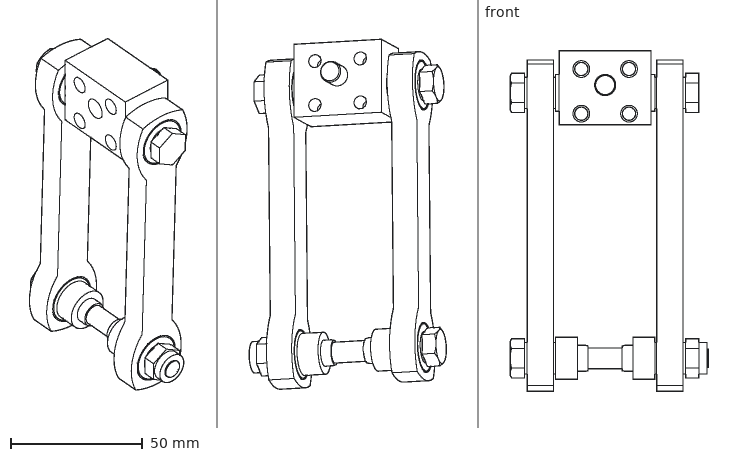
import cadquery as cq
import math


AXLE_DROP = 100.8
AXLE_SHIFT = 3.0
LINK_LENGTH = math.hypot(AXLE_DROP, AXLE_SHIFT)
LINK_TILT = -math.degrees(math.atan2(AXLE_SHIFT, AXLE_DROP))

LINK_INNER_X = 19.5
LINK_THICKNESS = 10.1
LINK_OUTER_X = LINK_INNER_X + LINK_THICKNESS
HEAD_REACH = 12.5
CORNER_Y = 10.0
CORNER_Z = 10.6
SHANK_HALF_WIDTH = 7.5
NECK_FILLET = 1.3
BORE_DIAMETER = 19.0

JOURNAL_CHAMFER = 0.5
SPACER_DIAMETER = 12.0
INNER_SPACER_LENGTH = 0.6
OUTER_SPACER_LENGTH = 0.9
SHOULDER_X = LINK_INNER_X - INNER_SPACER_LENGTH
HEX_INNER_X = LINK_OUTER_X + OUTER_SPACER_LENGTH
HEX_FLATS = 13.0
HEX_CORNERS = HEX_FLATS / math.cos(math.pi / 6)
HEAD_LENGTH = 5.6
HEAD_CHAMFER_ANGLE = 30
NUT_LENGTH = 5.0

BLOCK_WIDTH = 35.0
BLOCK_FRONT_Y = -8.0
BLOCK_BACK_Y = 13.3
BLOCK_DEPTH = BLOCK_BACK_Y - BLOCK_FRONT_Y
BLOCK_TOP_Z = 16.0
BLOCK_BOTTOM_Z = -12.2
FLANGE_DIAMETER = 14.0

MOUNT_X = 9.0
MOUNT_UPPER_Z = 9.0
MOUNT_LOWER_Z = -7.9
MOUNT_DIAMETER = 6.3
MOUNT_THROUGH_DIAMETER = 4.9
MOUNT_STEP_DEPTH = BLOCK_DEPTH / 2

PIN_DIAMETER = 8.0
PIN_RADIUS = PIN_DIAMETER / 2
PIN_Z = 3.0
PIN_LENGTH = 20.0
PIN_BACK_Y = 23.4
PIN_BEVEL_LENGTH = 0.8
PIN_DOME_RADIUS = 3.6
PIN_DOME_HEIGHT = 0.8

COLLAR_DIAMETER = 16.0
COLLAR_INNER_X = 10.5
STEP_DIAMETER = 10.0
STEP_INNER_X = 6.5
STEP_BEVEL_LENGTH = 1.0
STEP_BEVEL_HEIGHT = 0.3
ROD_DIAMETER = 8.0
STUB_DIAMETER = 12.0
STUB_LENGTH = 3.1
TIP_DIAMETER = 7.0
TIP_LENGTH = 0.5


def disc(start_x, end_x, diameter):
    """Cylinder on the X axis."""
    return cq.Workplane("YZ", origin=(start_x, 0, 0)).circle(diameter / 2).extrude(end_x - start_x)


def hexagon(start_x, end_x):
    """Hexagonal prism on the X axis, with corners pointing up and down."""
    prism = cq.Workplane("YZ", origin=(start_x, 0, 0)).polygon(6, HEX_CORNERS).extrude(end_x - start_x)
    return prism.rotate((0, 0, 0), (1, 0, 0), 90)


def bolt_head():
    """Hexagon at the -X end, its outer corners cut back by a cone."""
    outer_x = -HEX_INNER_X - HEAD_LENGTH
    flats_radius = HEX_FLATS / 2
    corner_radius = HEX_CORNERS / 2
    bevel_x = outer_x + (corner_radius - flats_radius) * math.tan(math.radians(HEAD_CHAMFER_ANGLE))
    cone_profile = [
        (outer_x, 0),
        (outer_x, flats_radius),
        (bevel_x, corner_radius),
        (-HEX_INNER_X, corner_radius),
        (-HEX_INNER_X, 0),
    ]
    envelope = cq.Workplane("XY").polyline(cone_profile).close().revolve(360, (0, 0, 0), (1, 0, 0))
    return hexagon(outer_x, -HEX_INNER_X).intersect(envelope)


def nut():
    return hexagon(HEX_INNER_X, HEX_INNER_X + NUT_LENGTH)


def journal(side):
    """Journal that fills a link bore, with a spacer on each face; side is -1 or +1."""
    bearing = disc(LINK_INNER_X, LINK_OUTER_X, BORE_DIAMETER).edges("%CIRCLE").chamfer(JOURNAL_CHAMFER)
    core = disc(SHOULDER_X, HEX_INNER_X, SPACER_DIAMETER)
    end = bearing.union(core)
    return end if side > 0 else end.mirror("YZ")


def make_link(side):
    """Tilted link with a rounded head around each axle; side is -1 or +1."""
    side_sagitta = HEAD_REACH - CORNER_Y
    side_radius = (CORNER_Z**2 + side_sagitta**2) / (2 * side_sagitta)
    arc_centre_y = HEAD_REACH - side_radius
    neck_z = math.sqrt(side_radius**2 - (SHANK_HALF_WIDTH - arc_centre_y) ** 2)
    start_x = LINK_INNER_X if side > 0 else -LINK_OUTER_X

    link = (
        cq.Workplane("YZ", origin=(start_x, 0, 0))
        .moveTo(SHANK_HALF_WIDTH, -neck_z)
        .threePointArc((HEAD_REACH, 0), (CORNER_Y, CORNER_Z))
        .threePointArc((0, HEAD_REACH), (-CORNER_Y, CORNER_Z))
        .threePointArc((-HEAD_REACH, 0), (-SHANK_HALF_WIDTH, -neck_z))
        .lineTo(-SHANK_HALF_WIDTH, -LINK_LENGTH + neck_z)
        .threePointArc((-HEAD_REACH, -LINK_LENGTH), (-CORNER_Y, -LINK_LENGTH - CORNER_Z))
        .threePointArc((0, -LINK_LENGTH - HEAD_REACH), (CORNER_Y, -LINK_LENGTH - CORNER_Z))
        .threePointArc((HEAD_REACH, -LINK_LENGTH), (SHANK_HALF_WIDTH, -LINK_LENGTH + neck_z))
        .close()
        .extrude(LINK_THICKNESS)
    )
    shank_region = cq.selectors.BoxSelector(
        (-LINK_OUTER_X, -HEAD_REACH, -LINK_LENGTH),
        (LINK_OUTER_X, HEAD_REACH, 0),
    )
    link = link.edges("|X").edges(shank_region).fillet(NECK_FILLET)
    for bore_z in (0, -LINK_LENGTH):
        bore = disc(start_x, start_x + LINK_THICKNESS, BORE_DIAMETER)
        link = link.cut(bore.translate((0, 0, bore_z)))
    return link.rotate((0, 0, 0), (1, 0, 0), LINK_TILT)


def hole_from_front(x, z, diameter, depth):
    """Cutter that enters the front face of the block and runs towards +Y."""
    plane = cq.Workplane("XZ", origin=(x, BLOCK_FRONT_Y, z))
    return plane.circle(diameter / 2).extrude(-depth)


def make_block():
    """Upper block with the axle ends that carry the links."""
    block = cq.Workplane("XY").box(
        BLOCK_WIDTH, BLOCK_DEPTH, BLOCK_TOP_Z - BLOCK_BOTTOM_Z, centered=(True, False, False)
    )
    block = block.translate((0, BLOCK_FRONT_Y, BLOCK_BOTTOM_Z))

    block = block.union(disc(-SHOULDER_X, SHOULDER_X, FLANGE_DIAMETER))
    for side in (-1, 1):
        block = block.union(journal(side))
    block = block.union(bolt_head()).union(nut())

    for x in (-MOUNT_X, MOUNT_X):
        for z in (MOUNT_LOWER_Z, MOUNT_UPPER_Z):
            block = block.cut(hole_from_front(x, z, MOUNT_DIAMETER, MOUNT_STEP_DEPTH))
            block = block.cut(hole_from_front(x, z, MOUNT_THROUGH_DIAMETER, BLOCK_DEPTH))

    return block.cut(hole_from_front(0, PIN_Z, PIN_DIAMETER, BLOCK_DEPTH))


def make_pin():
    """Dowel pin along Y with bevelled, domed ends."""
    half = PIN_LENGTH / 2
    rim = half - PIN_DOME_HEIGHT
    bevel = rim - PIN_BEVEL_LENGTH
    dome_sphere = (PIN_DOME_RADIUS**2 + PIN_DOME_HEIGHT**2) / (2 * PIN_DOME_HEIGHT)
    mid_radius = PIN_DOME_RADIUS / 2
    mid_dome = half - dome_sphere + math.sqrt(dome_sphere**2 - mid_radius**2)
    pin = (
        cq.Workplane("XY")
        .moveTo(0, -half)
        .threePointArc((mid_radius, -mid_dome), (PIN_DOME_RADIUS, -rim))
        .lineTo(PIN_RADIUS, -bevel)
        .lineTo(PIN_RADIUS, bevel)
        .lineTo(PIN_DOME_RADIUS, rim)
        .threePointArc((mid_radius, mid_dome), (0, half))
        .close()
        .revolve(360, (0, 0, 0), (0, 1, 0))
    )
    return pin.translate((0, PIN_BACK_Y - half, PIN_Z))


def make_lower_axle():
    """Lower axle: thin rod, stepped collars, journals, bolt head, nut and end stub."""
    axle = disc(-COLLAR_INNER_X, COLLAR_INNER_X, ROD_DIAMETER)
    step = disc(STEP_INNER_X, COLLAR_INNER_X, STEP_DIAMETER)
    step = step.faces("<X").edges().chamfer(STEP_BEVEL_LENGTH, STEP_BEVEL_HEIGHT)
    shoulder = step.union(disc(COLLAR_INNER_X, SHOULDER_X, COLLAR_DIAMETER))
    axle = axle.union(shoulder).union(shoulder.mirror("YZ"))
    for side in (-1, 1):
        axle = axle.union(journal(side))
    axle = axle.union(bolt_head()).union(nut())

    stub_x = HEX_INNER_X + NUT_LENGTH
    tip_x = stub_x + STUB_LENGTH
    axle = axle.union(disc(stub_x, tip_x, STUB_DIAMETER))
    axle = axle.union(disc(tip_x, tip_x + TIP_LENGTH, TIP_DIAMETER))
    return axle.translate((0, -AXLE_SHIFT, -AXLE_DROP))


links = [make_link(side) for side in (-1, 1)]
block = make_block()
pin = make_pin()
lower_axle = make_lower_axle()

bodies = [*links, block, pin, lower_axle]
result = cq.Compound.makeCompound([body.solids().val() for body in bodies])